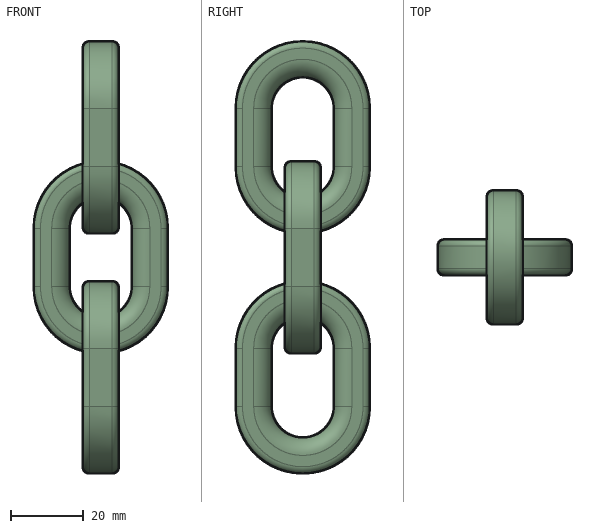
import cadquery as cq

CHAIN_LENGTH = 119.0
LINK_COUNT = 3
LINK_WIDTH = 37.0
BAR_SIZE = 10.0
OUTER_ROUND = 1.9

link_length = (CHAIN_LENGTH + 2 * (LINK_COUNT - 1) * BAR_SIZE) / LINK_COUNT
pitch = link_length - 2 * BAR_SIZE

outer_radius = LINK_WIDTH / 2
inner_radius = outer_radius - BAR_SIZE
half_bar = BAR_SIZE / 2
half_straight = link_length / 2 - outer_radius


def bar_section():
    """Bar cross-section at Z = 0: full round towards the opening, flat with rounded edges outside."""
    nose_centre = inner_radius + half_bar
    rim = (
        cq.Sketch()
        .push([((nose_centre + outer_radius) / 2, 0)])
        .rect(outer_radius - nose_centre, BAR_SIZE)
        .reset()
        .vertices(">X")
        .fillet(OUTER_ROUND)
        .reset()
    )
    return rim.push([(nose_centre, 0)]).circle(half_bar).clean()


def link_centreline():
    """Closed path of two straights and two half circles in the XZ plane, starting at Z = 0."""
    end_radius = inner_radius + half_bar
    top = half_straight + end_radius
    return (
        cq.Workplane("XZ")
        .moveTo(end_radius, 0)
        .lineTo(end_radius, half_straight)
        .threePointArc((0, top), (-end_radius, half_straight))
        .lineTo(-end_radius, -half_straight)
        .threePointArc((0, -top), (end_radius, -half_straight))
        .close()
    )


def make_link():
    """One chain link, lying in the XZ plane and centred on the origin."""
    return cq.Workplane("XY").placeSketch(bar_section()).sweep(link_centreline())


def make_chain():
    """Links stacked along Z, each turned a quarter turn from its neighbours."""
    links = []
    for index in range(LINK_COUNT):
        steps_from_middle = index - (LINK_COUNT - 1) / 2
        turn = 90 * steps_from_middle
        link = make_link().rotate((0, 0, 0), (0, 0, 1), turn)
        links.append(link.translate((0, 0, steps_from_middle * pitch)).val())
    return links


result = cq.Compound.makeCompound(make_chain())